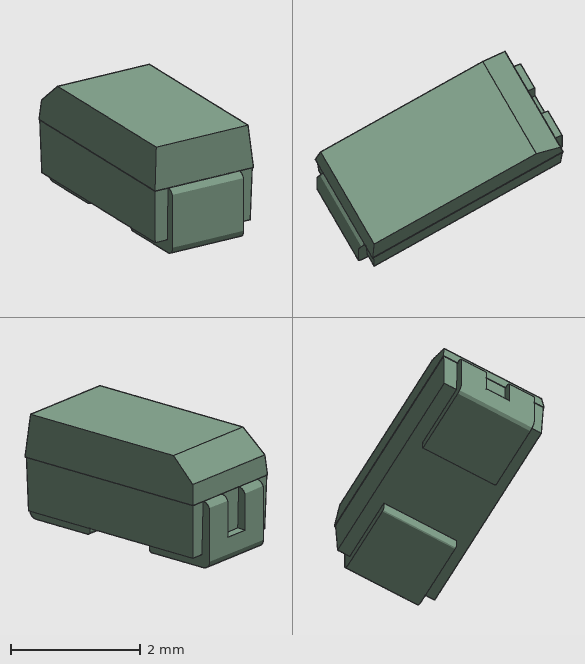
import cadquery as cq
import math

length = 3.64
height = 1.8
body_width = 1.8

body_bottom = 0.21
parting_z = 1.095
upper_left = -1.693
upper_right = 1.707
lower_length = 3.37
lower_width = 1.785
upper_draft = 5.0
lower_draft = 1.5

slope_top_x = -1.245
slope_bottom_z = 1.43

terminal_width = 1.3
terminal_bend_radius = 0.13
arm_thickness = 0.13
arm_embed = 0.073
foot_length = 1.22
foot_tip_radius = 0.05

slot_width = 0.415
slot_floor_z = 0.41


def make_upper_body():
    """Upper half, tapering upward, with the -X top edge cut to a slope."""
    upper_height = height - parting_z
    upper = (
        cq.Workplane("XY", origin=((upper_left + upper_right) / 2, 0, parting_z))
        .rect(upper_right - upper_left, body_width)
        .extrude(upper_height, taper=upper_draft)
    )
    slope_bottom_x = upper_left + (slope_bottom_z - parting_z) * math.tan(math.radians(upper_draft))
    slope_gradient = (height - slope_bottom_z) / (slope_top_x - slope_bottom_x)
    outer_x = -length / 2
    slope_outer_z = height - slope_gradient * (slope_top_x - outer_x)
    corner = (
        cq.Workplane("XZ")
        .polyline([(slope_top_x, height), (outer_x, slope_outer_z), (outer_x, height)])
        .close()
        .extrude(body_width / 2, both=True)
    )
    return upper.cut(corner)


def make_lower_body():
    """Lower half, tapering downward from the parting plane."""
    return (
        cq.Workplane("XY", origin=(0, 0, parting_z))
        .rect(lower_length, lower_width)
        .extrude(body_bottom - parting_z, taper=lower_draft)
    )


def make_terminal():
    """Terminal at the -X end: an upright arm and a foot under the body."""
    outer_x = -length / 2
    arm_depth = arm_thickness + arm_embed
    arm = (
        cq.Workplane("XY")
        .box(arm_depth, terminal_width, parting_z, centered=(False, True, False))
        .translate((outer_x, 0, 0))
        .edges("|Y and <X")
        .fillet(terminal_bend_radius)
    )
    foot_start = outer_x + arm_thickness
    foot = (
        cq.Workplane("XY")
        .box(foot_length - arm_thickness, terminal_width, body_bottom, centered=(False, True, False))
        .translate((foot_start, 0, 0))
        .edges("|Y and >X and <Z")
        .fillet(foot_tip_radius)
    )
    return arm.union(foot)


def make_slot():
    """Slot through the thickness of the arm, open at the top."""
    return (
        cq.Workplane("XY")
        .box(arm_thickness + arm_embed, slot_width, parting_z - slot_floor_z, centered=(False, True, False))
        .translate((-length / 2, 0, slot_floor_z))
    )


plain_terminal = make_terminal().mirror("YZ")
slotted_terminal = make_terminal().cut(make_slot())

result = make_upper_body().union(make_lower_body()).union(plain_terminal).union(slotted_terminal)